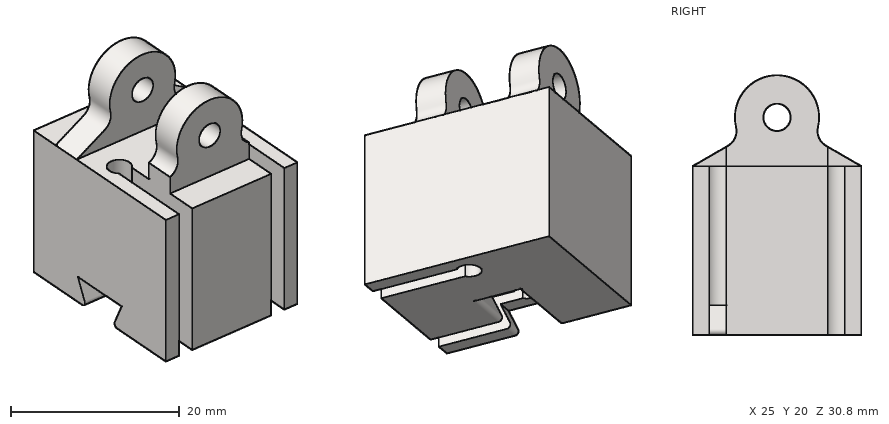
import cadquery as cq
import math

LENGTH = 25.0
WIDTH = 20.0
HEIGHT = 20.0
MID_X = LENGTH / 2
MID_Y = WIDTH / 2

LUG_SPAN = LENGTH * 2 / 3
LUG_THICKNESS = 4.0
LUG_RADIUS = 5.0
LUG_FILLET = 2.0
FOOT_ANGLE = math.radians(30)
PIN_DIAMETER = 3.2
PIN_Z = HEIGHT + MID_Y * math.tan(FOOT_ANGLE)

SLOT_WIDTH = 2.0
SLOT_EDGE_DISTANCE = 3.0
RELIEF_DIAMETER = 3.0

DOVETAIL_ROOF_WIDTH = 8.25
DOVETAIL_HEIGHT = 3.55
DOVETAIL_MOUTH_WIDTH = 5.0
DOVETAIL_LIP_RADIUS = 0.5
DOVETAIL_LENGTH = MID_Y


def make_lug(start_x):
    """Round-headed lug with a sloping foot as wide as the block."""
    along = math.sqrt((LUG_RADIUS + LUG_FILLET) ** 2 - LUG_FILLET ** 2)
    cos_foot = math.cos(FOOT_ANGLE)
    sin_foot = math.sin(FOOT_ANGLE)
    center_y = along * cos_foot + LUG_FILLET * sin_foot
    center_z = -along * sin_foot + LUG_FILLET * cos_foot

    head_share = LUG_RADIUS / (LUG_RADIUS + LUG_FILLET)
    head_y = center_y * head_share
    head_z = center_z * head_share
    slope_y = along * cos_foot
    slope_z = -along * sin_foot
    chord_y = (head_y + slope_y) / 2 - center_y
    chord_z = (head_z + slope_z) / 2 - center_z
    bulge = LUG_FILLET / math.hypot(chord_y, chord_z)
    middle_y = center_y + chord_y * bulge
    middle_z = center_z + chord_z * bulge

    foot_z = HEIGHT - PIN_Z
    return (
        cq.Workplane("YZ", origin=(start_x, MID_Y, PIN_Z))
        .moveTo(-MID_Y, foot_z)
        .lineTo(MID_Y, foot_z)
        .lineTo(slope_y, slope_z)
        .threePointArc((middle_y, middle_z), (head_y, head_z))
        .threePointArc((0, LUG_RADIUS), (-head_y, head_z))
        .threePointArc((-middle_y, middle_z), (-slope_y, slope_z))
        .close()
        .moveTo(0, 0)
        .circle(PIN_DIAMETER / 2)
        .extrude(LUG_THICKNESS)
    )


def make_keyhole_slot(center_y):
    """Slot with a round relief at its inner end, through the full height."""
    slot = cq.Workplane("XY").box(
        LENGTH - MID_X, SLOT_WIDTH, HEIGHT, centered=(False, True, False)
    ).translate((MID_X, center_y, 0))
    relief = cq.Workplane("XY").center(MID_X, center_y).circle(RELIEF_DIAMETER / 2).extrude(HEIGHT)
    return slot.union(relief)


def make_dovetail():
    """Dovetail groove whose lower lips are rounded into the bottom face."""
    roof_x = DOVETAIL_ROOF_WIDTH / 2
    mouth_x = DOVETAIL_MOUTH_WIDTH / 2
    flank_angle = math.atan2(roof_x - mouth_x, DOVETAIL_HEIGHT)
    corner_angle = math.pi / 2 - flank_angle
    reach = DOVETAIL_LIP_RADIUS / math.tan(corner_angle / 2)
    lip_x = mouth_x + reach
    throat_x = lip_x - DOVETAIL_LIP_RADIUS
    flank_x = mouth_x + reach * math.sin(flank_angle)
    flank_z = reach * math.cos(flank_angle)
    return (
        cq.Workplane("XZ", origin=(MID_X, 0, 0))
        .moveTo(-lip_x, 0)
        .lineTo(lip_x, 0)
        .threePointArc((throat_x, DOVETAIL_LIP_RADIUS), (flank_x, flank_z))
        .lineTo(roof_x, DOVETAIL_HEIGHT)
        .lineTo(-roof_x, DOVETAIL_HEIGHT)
        .lineTo(-flank_x, flank_z)
        .threePointArc((-throat_x, DOVETAIL_LIP_RADIUS), (-lip_x, 0))
        .close()
        .extrude(-DOVETAIL_LENGTH)
    )


result = cq.Workplane("XY").box(LENGTH, WIDTH, HEIGHT, centered=False)

result = result.union(make_lug(MID_X - LUG_SPAN / 2))

tongue_width = WIDTH - 2 * SLOT_EDGE_DISTANCE - SLOT_WIDTH
tongue_space = cq.Workplane("XY").box(
    LENGTH, tongue_width, PIN_Z + LUG_RADIUS, centered=(False, True, False)
).translate((0, MID_Y, 0))
trimmed_lug = make_lug(MID_X + LUG_SPAN / 2 - LUG_THICKNESS).intersect(tongue_space)
result = result.union(trimmed_lug)

for slot_y in (SLOT_EDGE_DISTANCE, WIDTH - SLOT_EDGE_DISTANCE):
    result = result.cut(make_keyhole_slot(slot_y))

result = result.cut(make_dovetail())